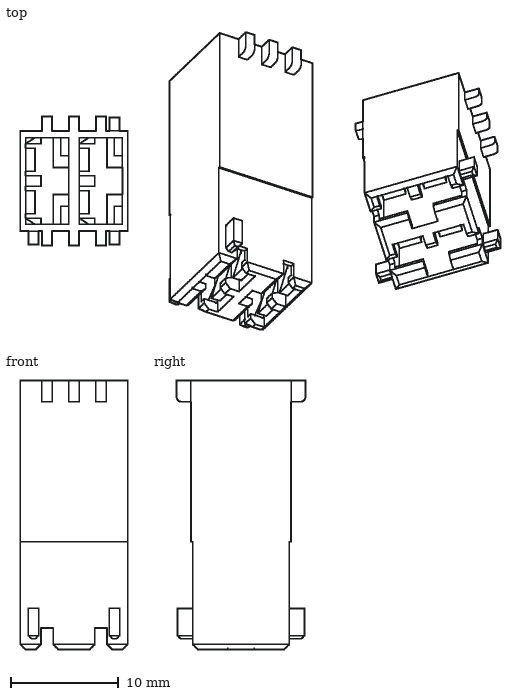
import cadquery as cq
import math

WIDTH = 10.0
HEIGHT = 25.0
UPPER_DEPTH = 9.3
LOWER_DEPTH = 9.0
STEP_Z = 10.0
FOOT_CHAMFER = 0.5

CELL_DEPTH = 8.0
SIDE_WALL = 0.5
MIDDLE_WALL = 1.0
FLOOR_Z = 1.0

SLOT_WIDTH = 1.1
SLOT_HEIGHT = 2.0
SLOT_OFFSET = 1.45

RIGHT_OPENING_DEPTH = 2.5
CENTRE_RIB_DEPTH = 1.0
CORNER_SHELF_DEPTH = 0.55

CENTRE_RIB_SLOPE = 25.0
WEDGE_RUN = 0.9
WEDGE_RISE = 3.35
WEDGE_DEPTH = 2.15
RAMP_RUN = 0.75
RAMP_RISE = 1.06
RAMP_DEPTH = 1.67
GUSSET_X = 0.83
GUSSET_Y = 0.55
GUSSET_RISE = 2.2

RIB_WIDTH = 0.95
RIB_HEIGHT = 2.0
RIB_PITCH = 2.5
RIB_SPAN = 12.0
RIB_FILLET = 0.5

PEG_WIDTH = 0.95
PEG_X = 3.77
PEG_SPAN = 11.83
PEG_BOTTOM_Z = 1.0
PEG_TOP_Z = 3.82
PEG_CHAMFER = 0.3

FRONT, BACK = -1, 1
PEG_PLACES = ((-PEG_X, FRONT), (PEG_X, FRONT), (PEG_X, BACK))

CELL_WIDTH = (WIDTH - 2 * SIDE_WALL - MIDDLE_WALL) / 2
CELL_OFFSET = (CELL_WIDTH + MIDDLE_WALL) / 2
CELL_CENTRES = (-CELL_OFFSET, CELL_OFFSET)


def box(x_range, y_range, z_range):
    """Axis-aligned box between the given limits."""
    (x0, x1), (y0, y1), (z0, z1) = x_range, y_range, z_range
    return cq.Workplane("XY").box(x1 - x0, y1 - y0, z1 - z0, centered=False).translate((x0, y0, z0))


def xz_prism(profile, y0, y1):
    """Closed XZ profile extruded from y0 to y1."""
    return cq.Workplane("XZ").polyline(profile).close().extrude(y0 - y1).translate((0, y0, 0))


def mirrored_pair(shape):
    """The shape together with its reflection across the XZ plane."""
    return shape.union(shape.mirror("XZ"))


def make_block():
    """Solid stepped block with slotted, chamfered feet."""
    half_width = WIDTH / 2
    lower_span = (-LOWER_DEPTH / 2, LOWER_DEPTH / 2)
    lower = box((-half_width, half_width), lower_span, (0, STEP_Z))
    for centre in CELL_CENTRES:
        slot_left = centre - CELL_WIDTH / 2 + SLOT_OFFSET
        slot = box((slot_left, slot_left + SLOT_WIDTH), lower_span, (0, SLOT_HEIGHT))
        lower = lower.cut(slot)
    lower = lower.faces("<Z").edges().chamfer(FOOT_CHAMFER)
    upper = box((-half_width, half_width), (-UPPER_DEPTH / 2, UPPER_DEPTH / 2), (STEP_Z, HEIGHT))
    return lower.union(upper)


def cell_cavity(centre):
    """Space of one cell above its floor."""
    return box(
        (centre - CELL_WIDTH / 2, centre + CELL_WIDTH / 2),
        (-CELL_DEPTH / 2, CELL_DEPTH / 2),
        (FLOOR_Z, HEIGHT),
    )


def floor_openings(centre):
    """Through openings left and right of the slot in one cell floor."""
    left = centre - CELL_WIDTH / 2
    right = centre + CELL_WIDTH / 2
    slot_left = left + SLOT_OFFSET
    slot_right = slot_left + SLOT_WIDTH
    right_opening = box(
        (slot_right, right), (-RIGHT_OPENING_DEPTH / 2, RIGHT_OPENING_DEPTH / 2), (0, FLOOR_Z)
    )
    left_opening = box(
        (left, slot_left), (CENTRE_RIB_DEPTH / 2, CELL_DEPTH / 2 - CORNER_SHELF_DEPTH), (0, FLOOR_Z)
    )
    return right_opening.union(mirrored_pair(left_opening))


def corner_gusset(left):
    """Three-sided pyramid filling the back left corner of a cell."""
    back = CELL_DEPTH / 2
    corner = cq.Vector(left, back, FLOOR_Z)
    along_x = corner + cq.Vector(GUSSET_X, 0, 0)
    along_y = corner - cq.Vector(0, GUSSET_Y, 0)
    apex = corner + cq.Vector(0, 0, GUSSET_RISE)
    triangles = [
        (corner, along_x, along_y),
        (corner, along_x, apex),
        (corner, along_y, apex),
        (along_x, along_y, apex),
    ]
    faces = [cq.Face.makeFromWires(cq.Wire.makePolygon(list(points), close=True)) for points in triangles]
    return cq.Workplane(cq.Solid.makeSolid(cq.Shell.makeShell(faces)))


def cell_details(centre):
    """Sloped rib, wedges, ramps and corner gussets standing in one cell."""
    left = centre - CELL_WIDTH / 2
    right = centre + CELL_WIDTH / 2
    rib_rise = SLOT_OFFSET * math.tan(math.radians(CENTRE_RIB_SLOPE))
    rib_slope = xz_prism(
        [(left, FLOOR_Z), (left + SLOT_OFFSET, FLOOR_Z), (left, FLOOR_Z + rib_rise)],
        -CENTRE_RIB_DEPTH / 2,
        CENTRE_RIB_DEPTH / 2,
    )
    opening_centre = (CENTRE_RIB_DEPTH / 2 + CELL_DEPTH / 2 - CORNER_SHELF_DEPTH) / 2
    wedge = xz_prism(
        [(left, FLOOR_Z), (left + WEDGE_RUN, FLOOR_Z), (left, FLOOR_Z + WEDGE_RISE)],
        opening_centre - WEDGE_DEPTH / 2,
        opening_centre + WEDGE_DEPTH / 2,
    )
    ramp = xz_prism(
        [(right, FLOOR_Z), (right - RAMP_RUN, FLOOR_Z), (right, FLOOR_Z + RAMP_RISE)],
        CELL_DEPTH / 2 - RAMP_DEPTH,
        CELL_DEPTH / 2,
    )
    pairs = mirrored_pair(wedge).union(mirrored_pair(ramp)).union(mirrored_pair(corner_gusset(left)))
    return rib_slope.union(pairs)


def top_rib(x):
    """Bar across the full depth at the top, rounded at its lower ends."""
    rib = box(
        (x - RIB_WIDTH / 2, x + RIB_WIDTH / 2),
        (-RIB_SPAN / 2, RIB_SPAN / 2),
        (HEIGHT - RIB_HEIGHT, HEIGHT),
    )
    return rib.faces("<Z").edges("|X").fillet(RIB_FILLET)


def peg(x, side):
    """Peg on the front or back wall, chamfered below."""
    block = box(
        (x - PEG_WIDTH / 2, x + PEG_WIDTH / 2), (LOWER_DEPTH / 2, PEG_SPAN / 2), (PEG_BOTTOM_Z, PEG_TOP_Z)
    )
    block = block.faces("<Z").edges("|Y or >Y").chamfer(PEG_CHAMFER)
    return block if side == BACK else block.mirror("XZ")


result = make_block()
for rib_x in (-RIB_PITCH, 0, RIB_PITCH):
    result = result.union(top_rib(rib_x))
for peg_x, peg_side in PEG_PLACES:
    result = result.union(peg(peg_x, peg_side))
for cell_x in CELL_CENTRES:
    result = result.cut(cell_cavity(cell_x)).cut(floor_openings(cell_x))
    result = result.union(cell_details(cell_x))